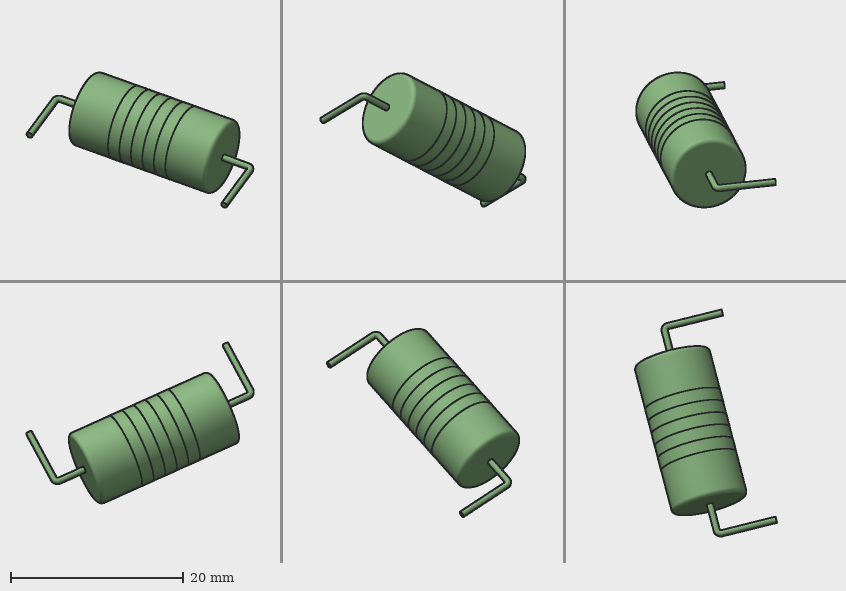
import cadquery as cq

overall_length = 26.15
body_length = 18.0
body_diameter = 9.0
end_fillet = 0.5
band_diameter = 9.02
band_count = 3
band_width = body_length / 12
band_pitch = 2 * band_width
wire_diameter = 0.75
bend_radius = 0.5
lead_drop = 7.0

wire_radius = wire_diameter / 2
leg_x = overall_length / 2 - wire_radius
bend_start_x = leg_x - bend_radius


def cylinder_along_x(start_x, length, diameter):
    return cq.Workplane("YZ", origin=(start_x, 0, 0)).circle(diameter / 2).extrude(length)


def make_body():
    body = cylinder_along_x(-body_length / 2, body_length, body_diameter)
    return body.faces("<X or >X").edges().fillet(end_fillet)


def make_band(center_x):
    """Slightly raised colour band around the body."""
    return cylinder_along_x(center_x - band_width / 2, band_width, band_diameter)


def make_lead():
    """Lead on the +X side, starting at the centre of the body and ending at its bent tip."""
    straight = cylinder_along_x(0, bend_start_x, wire_diameter)
    bend = (
        cq.Workplane("YZ", origin=(bend_start_x, 0, 0))
        .circle(wire_radius)
        .revolve(90, (-bend_radius, 0.25, 0), (-bend_radius, 0, 0))
    )
    leg = (
        cq.Workplane("XZ", origin=(leg_x, -bend_radius, 0))
        .circle(wire_radius)
        .extrude(lead_drop - bend_radius)
    )
    return straight.union(bend).union(leg)


result = make_body()
for index in range(band_count):
    band_center_x = (index - (band_count - 1) / 2) * band_pitch
    result = result.union(make_band(band_center_x))

lead = make_lead()
result = result.union(lead).union(lead.mirror("YZ"))